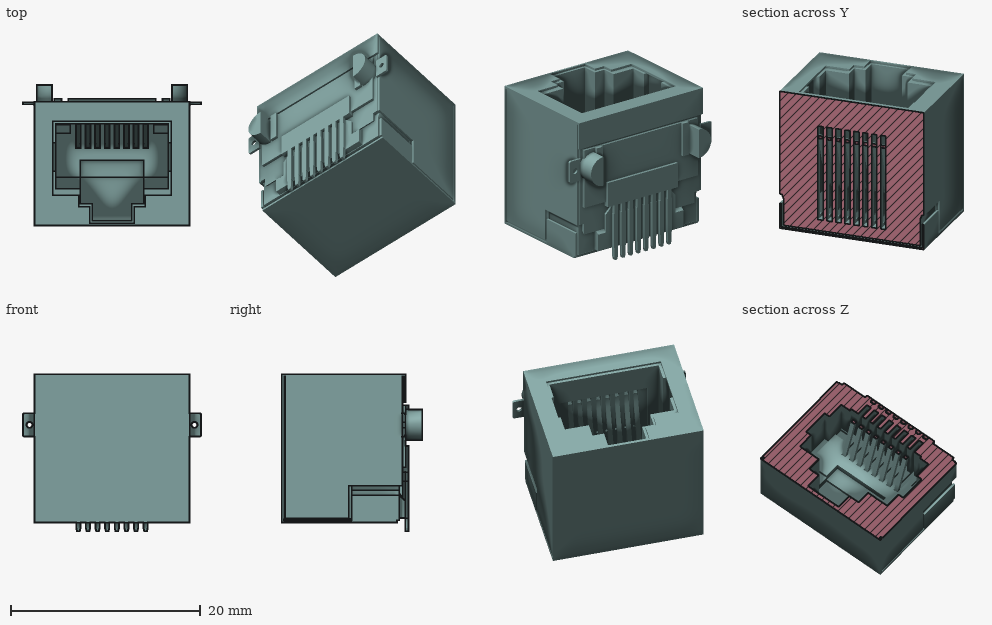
import cadquery as cq
width = 16.4
height = 15.68
back = 13.08
sheet = 0.25
half_width = width / 2
core_half = half_width - sheet
panel_front, panel_back = 0.35, 12.7
panel_bottom = 0.47
step_y, step_z = 7.09, 3.91
flap_front, flap_back, flap_top = 7.39, 12.4, 2.91
bottom_back = 12.18
back_flap_bottom = 12.69

span = 18.8
tab_low, tab_high = 9.08, 11.56
tab_front, tab_back = 12.78, 13.03
tab_bend = 0.1
tab_corner = 0.19
tab_hole_x, tab_hole_diameter = 8.7, 0.6

core_bottom = 0.4
core_back = 12.78
core_top = height - sheet
hook_tip, hook_root = 2.69, 3.06
hook_half = 7.33
pocket_depth, pocket_shoulder = 0.19, 3.44
base_low, base_high = 5.87, 12.4
base_half = 7.52

standoff_back = 13.4
pad_half, pad_low, pad_high = 4.62, 5.34, 8.1
small_pad_inner, small_pad_outer = 5.32, 6.11
post_radius, post_x, post_tip = 1.64, 6.32, 14.83
post_z = (tab_low + tab_high) / 2
rack_shoulder = 4.36
foot_half, foot_bottom = 5.64, 0.47
foot_high, foot_low = 2.88, 2.33

lip_outline = [(6.25, 11.0), (6.25, 3.21), (3.53, 3.21), (3.53, 1.95), (2.35, 1.95), (2.35, 0.23)]
cavity_half, cavity_back, cavity_front = 5.95, 10.72, 3.9
latch_half, latch_back, latch_front = 3.33, 6.88, 2.31
key_half, key_front = 2.07, 0.53
floor = 2.07
step_down = 0.38
floor_step_y = 5.1
ramp_back, ramp_rise = 1.02, 0.17
groove_half, groove_front, groove_back = 6.6, 5.75, 8.76
stop_inner, stop_front, stop_back = 4.38, 9.74, 10.65

contact_count = 8
pitch = 1.02
contact_width = 0.47
contact_thickness = 0.38
shoulder_width = 0.56
total_height = 16.6
tail_end = height - total_height
tail_taper, tail_chamfer = 0.34, 0.1
slot_width = 0.55
recess_half, recess_back, recess_top = 4.75, 10.96, 12.31
slot_back = 12.4
tip_y = 8.22
tip_gap = 0.05
knee_z = 11.28
spring_slope = 3.0
riser_top = 7.95

contact_xs = [(i - (contact_count - 1) / 2) * pitch for i in range(contact_count)]


def block(x0, x1, y0, y1, z0, z1):
    """Box between two opposite corners."""
    return cq.Workplane("XY").box(x1 - x0, y1 - y0, z1 - z0, centered=False).translate((x0, y0, z0))


def wide_block(half, y0, y1, z0, z1):
    """Box centred on the YZ plane."""
    return block(-half, half, y0, y1, z0, z1)


def side_profile(points, half):
    """Outline of (y, z) points, extruded both ways in X."""
    return cq.Workplane("YZ").polyline(points).close().extrude(half, both=True)


def both_sides(shape):
    """A shape on the +X side together with its mirror image."""
    return shape.union(shape.mirror("YZ"))


def make_contact(x):
    knee_y = tip_y + (knee_z - floor) / spring_slope
    run = contact_thickness * (1 + spring_slope ** 2) ** 0.5 / spring_slope
    under_knee_y = knee_y + run - contact_thickness / spring_slope
    riser_front = slot_back - contact_thickness
    stem_front = standoff_back - contact_thickness
    outline = [
        (standoff_back, tail_end),
        (standoff_back, riser_top),
        (slot_back, riser_top),
        (slot_back, knee_z),
        (knee_y, knee_z),
        (tip_y, floor),
        (tip_y + run, floor),
        (under_knee_y, knee_z - contact_thickness),
        (riser_front, knee_z - contact_thickness),
        (riser_front, riser_top - contact_thickness),
        (stem_front, riser_top - contact_thickness),
        (stem_front, tail_end),
    ]
    strip = side_profile(outline, contact_width / 2)
    shoulder = wide_block(shoulder_width / 2, stem_front, standoff_back, foot_bottom, rack_shoulder)
    half = contact_width / 2
    taper = both_sides(
        cq.Workplane("XZ")
        .polyline([(half, tail_end), (half, tail_end + tail_taper), (half - tail_chamfer, tail_end)])
        .close()
        .extrude(-post_tip)
    )
    return strip.union(shoulder).cut(taper).translate((x, 0, 0))


def make_core():
    core = side_profile(
        [
            (sheet, core_bottom),
            (flap_back, core_bottom),
            (flap_back, hook_root),
            (core_back, hook_tip),
            (core_back, core_top),
            (sheet, core_top),
        ],
        core_half,
    )
    pocket_inner = core_half - pocket_depth
    pocket = (
        cq.Workplane("XZ", origin=(0, flap_front, 0))
        .polyline([
            (pocket_inner, 0),
            (pocket_inner, pocket_shoulder),
            (core_half, step_z),
            (core_half, 0),
        ])
        .close()
        .extrude(flap_front - flap_back)
    )
    behind_flap = block(hook_half, core_half, flap_back, core_back, 0, step_z)
    return core.cut(both_sides(pocket.union(behind_flap)))


def make_cavity():
    cavity = wide_block(cavity_half, cavity_front, cavity_back, floor, height)
    front_floor = wide_block(cavity_half, cavity_front, floor_step_y, floor - step_down, height)
    latch = wide_block(latch_half, latch_front, latch_back, floor - 2 * step_down, height)
    deep_floor = floor - 3 * step_down
    latch_floor = wide_block(latch_half, latch_front, floor_step_y, deep_floor, height)
    key = (
        cq.Workplane("YZ")
        .moveTo(floor_step_y, height)
        .lineTo(floor_step_y, deep_floor)
        .lineTo(ramp_back, deep_floor)
        .tangentArcPoint((key_front, deep_floor + ramp_rise), relative=False)
        .lineTo(key_front, height)
        .close()
        .extrude(key_half, both=True)
    )
    groove = both_sides(
        block(cavity_half, groove_half, groove_front, groove_back, floor - step_down, core_top)
    )
    stop_well = both_sides(
        block(stop_inner, cavity_half, stop_front, stop_back, floor - step_down, height)
    )
    mirrored_lip = [(-x, y) for x, y in reversed(lip_outline)]
    lip = (
        cq.Workplane("XY", origin=(0, 0, core_top))
        .polyline(lip_outline + mirrored_lip)
        .close()
        .extrude(sheet)
    )
    recess = wide_block(recess_half, cavity_back, recess_back, floor, recess_top)
    for cut in (front_floor, latch, latch_floor, key, groove, stop_well, lip, recess):
        cavity = cavity.union(cut)
    for x in contact_xs:
        left, right = x - slot_width / 2, x + slot_width / 2
        cavity = cavity.union(block(left, right, recess_back, slot_back, floor, recess_top))
        cavity = cavity.union(block(left, right, tip_y - tip_gap, slot_back, floor - step_down, floor))
    return cavity


def make_shell():
    top = wide_block(half_width, 0, back, core_top, height)
    front = wide_block(half_width, 0, sheet, 0, height)
    bottom = wide_block(half_width, 0, bottom_back, 0, sheet)
    back_flap = wide_block(half_width, back - sheet, back, back_flap_bottom, height)
    panel = block(core_half, half_width, panel_front, panel_back, panel_bottom, height)
    panel = panel.cut(block(core_half, half_width, step_y, panel_back, 0, step_z))
    flap = block(core_half, half_width, flap_front, flap_back, sheet, flap_top)
    return top.union(front).union(bottom).union(back_flap).union(both_sides(panel.union(flap)))


def make_tabs():
    tab = block(core_half, span / 2, tab_front, tab_back, tab_low, tab_high)
    tab = tab.edges("|Y and >X").fillet(tab_corner)
    bend = (
        block(half_width, half_width + tab_bend, tab_front - tab_bend, tab_front, tab_low, tab_high)
        .cut(
            cq.Workplane("XY", origin=(half_width + tab_bend, tab_front - tab_bend, tab_low))
            .circle(tab_bend)
            .extrude(tab_high - tab_low)
        )
    )
    hole = (
        cq.Workplane("XZ", origin=(tab_hole_x, 0, post_z))
        .circle(tab_hole_diameter / 2)
        .extrude(-back)
    )
    return both_sides(tab.union(bend).cut(hole))


def make_rear_features():
    base = wide_block(base_half, panel_back, back, base_low, base_high)
    pad = wide_block(pad_half, panel_back, standoff_back, pad_low, pad_high)
    small_pads = both_sides(
        block(small_pad_inner, small_pad_outer, core_back, standoff_back, post_z - post_radius, base_high)
    )
    post = cq.Workplane("XZ", origin=(post_x, core_back, post_z)).circle(post_radius)
    post = post.extrude(core_back - post_tip)
    post = post.intersect(block(post_x, half_width, core_back, post_tip, 0, height))
    rack_back = standoff_back - contact_thickness
    narrow = pad_half - (pad_low - rack_shoulder)
    rack = (
        cq.Workplane("XZ", origin=(0, flap_back - sheet, 0))
        .polyline([
            (-pad_half, foot_bottom),
            (pad_half, foot_bottom),
            (pad_half, rack_shoulder),
            (narrow, pad_low),
            (-narrow, pad_low),
            (-pad_half, rack_shoulder),
        ])
        .close()
        .extrude(flap_back - sheet - rack_back)
    )
    foot = side_profile(
        [
            (flap_back - sheet, foot_bottom),
            (rack_back, foot_bottom),
            (rack_back, foot_low),
            (flap_back, foot_high),
            (flap_back - sheet, foot_high),
        ],
        foot_half,
    )
    return base.union(pad).union(small_pads).union(both_sides(post)).union(rack).union(foot)


contacts = [make_contact(x) for x in contact_xs]

jack = make_core().union(make_shell()).cut(make_cavity())
jack = jack.union(make_tabs()).union(make_rear_features())
for contact in contacts:
    jack = jack.cut(contact)

result = cq.Compound.makeCompound([jack.val(), *[contact.val() for contact in contacts]])